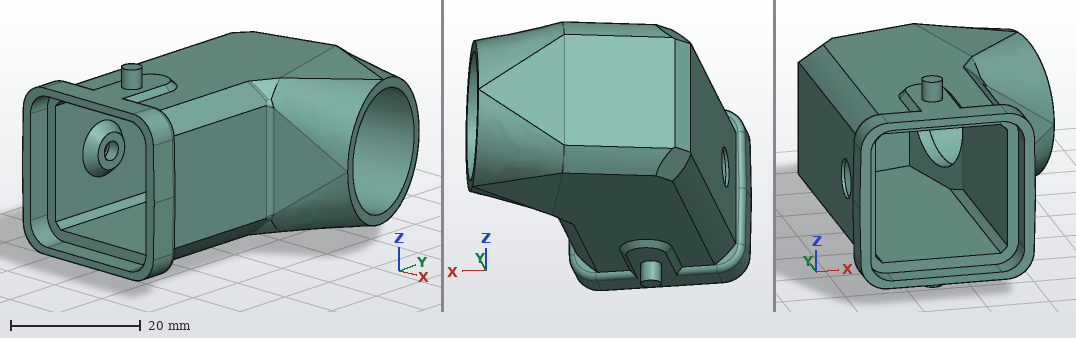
import cadquery as cq
import math


OUTLET_ANGLE = 15.0
BODY_SIZE = 25.0
BODY_CORNER_DIAMETER = 31.0
ELBOW_Y = 27.56
BACK_CORNER_CUT = 2.0
BEVEL_CHAMFER_WIDTH = 4.3
BEVEL_CHAMFER_HEIGHT = 3.55
ELBOW_FILLET = 1.0
WEB_DROP = 1.3

COLLAR_HEIGHT = 5.3
COLLAR_MIDDLE_WIDTH = 28.0
COLLAR_END_WIDTH = 27.4
COLLAR_DEPTH = 27.0
COLLAR_RADIUS = 4.3
COLLAR_EDGE_RADIUS = 1.0
MOUTH_SIZE = 24.5
MOUTH_RADIUS = 3.6
MOUTH_DEPTH = 3.8

OUTLET_LENGTH = 13.22
OUTLET_DIAMETER = 23.3
OUTLET_BORE = 20.0
NECK_BORE = 15.5
NECK_LENGTH = 2.08

WALL = 2.0
CAVITY_CORNER_DIAMETER = 28.2
CAVITY_BACK_X = 6.1
NECK_WALL_SETBACK = 0.84

TAB_HALF_WIDTH = 3.1
TAB_CENTER_Y = 14.0
PIN_DIAMETER = 3.2
PIN_Y = 9.8
PIN_SPAN = 33.4

HOLE_Y = 14.4
HOLE_DIAMETER = 3.1
COUNTERSINK_DIAMETER = 6.2
COUNTERSINK_RIM = 0.5
COUNTERSINK_DEPTH = 1.85
BOSS_DIAMETER = 9.0
BOSS_TOP_DIAMETER = 6.0
BOSS_HEIGHT = 1.85

OVERRUN = 5.0
half = BODY_SIZE / 2
corner_radius = BODY_CORNER_DIAMETER / 2
inset = math.sqrt(corner_radius**2 - half**2)
diagonal = math.sqrt(0.5)
corner_middle = corner_radius * diagonal
cavity_half = half - WALL
collar_half_depth = COLLAR_DEPTH / 2

sin_a = math.sin(math.radians(OUTLET_ANGLE))
cos_a = math.cos(math.radians(OUTLET_ANGLE))
tan_a = sin_a / cos_a

elbow = (half, ELBOW_Y)
root_top = (half - BODY_SIZE * sin_a, ELBOW_Y + BODY_SIZE * cos_a)
back_left_y = root_top[1] - (root_top[0] + half) * tan_a
bevel_start = (-half, back_left_y - BACK_CORNER_CUT)
bevel_end = (-half + BACK_CORNER_CUT * cos_a, back_left_y + BACK_CORNER_CUT * sin_a)
web_start = (inset, ELBOW_Y - WEB_DROP)

root_plane = cq.Plane(
    origin=(half - half * sin_a, ELBOW_Y + half * cos_a, 0),
    xDir=(-sin_a, cos_a, 0),
    normal=(cos_a, sin_a, 0),
)


def mouth_plane():
    """Workplane across the open end, extruding toward +Y."""
    return cq.Workplane(cq.Plane((0, 0, 0), (-1, 0, 0), (0, 1, 0)))


def plan_prism(points, half_height):
    """Prism with an XY outline, symmetric about Z = 0."""
    return cq.Workplane("XY").polyline(points).close().extrude(half_height, both=True)


def mirrored(shape):
    """Shape joined with its mirror image below Z = 0."""
    return shape.union(shape.mirror("XY"))


def turned_along_x(outline):
    """Solid turned from an XY half outline around the hole axis in the -X side."""
    half_section = cq.Workplane("XY").polyline(outline).close()
    return half_section.revolve(360, (0, HOLE_Y, 0), (1, HOLE_Y, 0))


def face_between(*edges):
    return cq.Face.makeFromWires(cq.Wire.assembleEdges(list(edges)))


def solid_from_faces(faces):
    return cq.Workplane(obj=cq.Solid.makeSolid(cq.Shell.makeShell(faces)))


def edge_cutter(start, end, width, bottom, middle=None):
    """Cutter along the upper edge of the side from start to end (body on its left).

    Its profile runs from the top face, the given width inside the side face, down to the
    bottom height on the side face, straight or as an arc through the middle point.
    """
    along = cq.Vector(end[0] - start[0], end[1] - start[1], 0)
    direction = along.normalized()
    outward = cq.Vector(direction.y, -direction.x, 0)
    origin = cq.Vector(*start, 0) - direction * OVERRUN
    profile = cq.Workplane(cq.Plane(origin, outward, direction * -1)).moveTo(-width, half)
    if middle:
        profile = profile.threePointArc(middle, (0, bottom))
    else:
        profile = profile.lineTo(0, bottom)
    return (
        profile.lineTo(OVERRUN, bottom)
        .lineTo(OVERRUN, half + OVERRUN)
        .lineTo(-width, half + OVERRUN)
        .close()
        .extrude(-along.Length - 2 * OVERRUN)
    )


def edge_rounder(start, end):
    """Edge cutter that leaves the round corner of the body section."""
    return edge_cutter(start, end, half - inset, inset, (corner_middle - half, corner_middle))


def right_edge_rounder():
    """Edge cutter of the +X side, stopped at the lower plane of the elbow web."""
    slope = (elbow[1] - web_start[1]) / (elbow[0] - web_start[0])
    far_x = half + 2 * OVERRUN
    limit = plan_prism(
        [
            (web_start[0], -2 * OVERRUN),
            (far_x, -2 * OVERRUN),
            (far_x, elbow[1] + slope * (far_x - elbow[0])),
            web_start,
        ],
        BODY_SIZE,
    )
    return edge_rounder((half, 0), elbow).intersect(limit)


def web_cutter():
    """Cutter leaving a ruled web between the body edge and the outlet root corner."""
    tip = cq.Vector(*elbow, inset)
    sharp_corner = cq.Vector(*elbow, half)
    body_point = cq.Vector(*web_start, half)
    root_point = root_plane.toWorldCoords((-inset, half, 0))
    root_middle = root_plane.toWorldCoords((-corner_middle, corner_middle, 0))

    web_angle = math.atan2(WEB_DROP, half - inset)
    web_direction = cq.Vector(math.cos(web_angle), math.sin(web_angle), 0)
    tip_angle = math.degrees(math.acos(half / corner_radius))
    body_arc = cq.Edge.makeEllipse(
        corner_radius / math.cos(web_angle),
        corner_radius,
        cq.Vector(0, ELBOW_Y - half * math.tan(web_angle), 0),
        cq.Vector(web_direction.y, -web_direction.x, 0),
        web_direction,
        tip_angle,
        90 - tip_angle,
    )
    root_arc = cq.Edge.makeThreePointArc(tip, root_middle, root_point)
    riser = cq.Edge.makeLine(tip, sharp_corner)
    body_side = cq.Edge.makeLine(sharp_corner, body_point)
    root_side = cq.Edge.makeLine(sharp_corner, root_point)
    crest = cq.Edge.makeLine(body_point, root_point)
    return solid_from_faces(
        [
            cq.Face.makeRuledSurface(body_arc, root_arc),
            face_between(body_arc, body_side, riser),
            face_between(root_arc, root_side, riser),
            face_between(body_side, crest, root_side),
        ]
    )


def make_body():
    """Straight body with a slanted, beveled back, ending at the outlet root plane."""
    outline = [(-half, 0), (half, 0), elbow, root_top, bevel_end, bevel_start]
    body = plan_prism(outline, half)
    cutters = [
        edge_rounder(root_top, bevel_end),
        edge_cutter(bevel_end, bevel_start, BEVEL_CHAMFER_WIDTH, half - BEVEL_CHAMFER_HEIGHT),
        edge_rounder(bevel_start, (-half, 0)),
        right_edge_rounder(),
        web_cutter(),
    ]
    for cutter in cutters:
        body = body.cut(cutter).cut(cutter.mirror("XY"))
    return body


def make_outlet():
    """Transition from the root section to the round outlet end."""
    radius = OUTLET_DIAMETER / 2
    quarter_directions = [(1, 0), (0, 1), (-1, 0), (0, -1)]
    faces = []
    root_edges = []
    end_edges = []
    for index, (u1, v1) in enumerate(quarter_directions):
        u2, v2 = quarter_directions[(index + 1) % len(quarter_directions)]

        def point(first, second, w):
            """Point from its reach along this quarter's first and second direction."""
            return root_plane.toWorldCoords((u1 * first + u2 * second, v1 * first + v2 * second, w))

        corner_end = point(inset, half, 0)
        flat_end = point(-inset, half, 0)
        end_stop = point(0, radius, OUTLET_LENGTH)
        corner_arc = cq.Edge.makeThreePointArc(
            point(half, inset, 0), point(corner_middle, corner_middle, 0), corner_end
        )
        end_arc = cq.Edge.makeThreePointArc(
            point(radius, 0, OUTLET_LENGTH),
            point(radius * diagonal, radius * diagonal, OUTLET_LENGTH),
            end_stop,
        )
        flat = cq.Edge.makeLine(corner_end, flat_end)
        root_edges += [corner_arc, flat]
        end_edges.append(end_arc)
        faces.append(cq.Face.makeRuledSurface(corner_arc, end_arc))
        faces.append(
            face_between(flat, cq.Edge.makeLine(flat_end, end_stop), cq.Edge.makeLine(end_stop, corner_end))
        )
    faces.append(face_between(*root_edges))
    faces.append(face_between(*end_edges))
    return solid_from_faces(faces)


def round_elbow(hood):
    """Fillet along the inner bend and on along the lower edges of both webs."""
    web_middle_x = (elbow[0] + web_start[0]) / 2
    web_middle_y = (elbow[1] + web_start[1]) / 2
    web_middle_z = (half + inset) / 2
    bend_points = [
        (*elbow, 0),
        (web_middle_x, web_middle_y, web_middle_z),
        (web_middle_x, web_middle_y, -web_middle_z),
    ]
    picked = [hood.edges(cq.selectors.NearestToPointSelector(p)).val() for p in bend_points]
    return hood.newObject(picked).fillet(ELBOW_FILLET)


def make_collar():
    """Rim around the mouth with slightly peaked sides and a rounded upper edge."""
    peak = COLLAR_MIDDLE_WIDTH / 2
    end = COLLAR_END_WIDTH / 2
    outline = [
        (peak, 0),
        (end, collar_half_depth),
        (-end, collar_half_depth),
        (-peak, 0),
        (-end, -collar_half_depth),
        (end, -collar_half_depth),
    ]
    collar = mouth_plane().polyline(outline).close().extrude(COLLAR_HEIGHT)
    collar = collar.edges("|Y").edges(">Z or <Z").fillet(COLLAR_RADIUS)
    return collar.faces(">Y").edges().fillet(COLLAR_EDGE_RADIUS)


def make_tab():
    """Upper tab with a rounded end and 45 degree flanks, flush with the collar."""
    rise = collar_half_depth - half
    base_half_width = TAB_HALF_WIDTH + rise
    start_y = base_half_width / 2
    return (
        cq.Workplane("XY", origin=(0, 0, half))
        .moveTo(-base_half_width, start_y)
        .lineTo(base_half_width, start_y)
        .lineTo(base_half_width, TAB_CENTER_Y)
        .threePointArc((0, TAB_CENTER_Y + base_half_width), (-base_half_width, TAB_CENTER_Y))
        .close()
        .extrude(rise, taper=45)
    )


def make_pin():
    """Upper locking pin, rooted in the wall."""
    return (
        cq.Workplane("XY", origin=(0, PIN_Y, half - WALL / 2))
        .circle(PIN_DIAMETER / 2)
        .extrude(PIN_SPAN / 2 - half + WALL / 2)
    )


def make_mouth():
    """Rounded square recess at the open end."""
    return mouth_plane().rect(MOUTH_SIZE, MOUTH_SIZE).extrude(MOUTH_DEPTH).edges("|Y").fillet(MOUTH_RADIUS)


def make_cavity():
    """Inside of the hood: a slanted back wall and a wall square to the outlet axis."""
    wall_x = root_plane.origin.x - NECK_WALL_SETBACK * cos_a
    wall_y = root_plane.origin.y - NECK_WALL_SETBACK * sin_a
    back_y = wall_y + (wall_x - CAVITY_BACK_X) / tan_a
    outline = [
        (-cavity_half, 0),
        (cavity_half, 0),
        (cavity_half, wall_y - (cavity_half - wall_x) / tan_a),
        (CAVITY_BACK_X, back_y),
        (-cavity_half, back_y - (cavity_half + CAVITY_BACK_X) * tan_a),
    ]
    corner_limit = mouth_plane().circle(CAVITY_CORNER_DIAMETER / 2).extrude(2 * BODY_SIZE)
    return plan_prism(outline, cavity_half).intersect(corner_limit)


def make_outlet_bores():
    """Neck bore through the inner wall, opening into the wide bore of the outlet."""
    outlet = cq.Workplane(root_plane)
    neck_end = NECK_LENGTH - NECK_WALL_SETBACK
    neck = outlet.workplane(offset=-NECK_WALL_SETBACK).circle(NECK_BORE / 2).extrude(NECK_LENGTH)
    bore = outlet.workplane(offset=neck_end).circle(OUTLET_BORE / 2).extrude(OUTLET_LENGTH)
    return neck.union(bore)


def make_boss():
    """Conical boss on the inside of the -X wall."""
    outline = [
        (-cavity_half, HOLE_Y),
        (-cavity_half, HOLE_Y + BOSS_DIAMETER / 2),
        (-cavity_half + BOSS_HEIGHT, HOLE_Y + BOSS_TOP_DIAMETER / 2),
        (-cavity_half + BOSS_HEIGHT, HOLE_Y),
    ]
    return turned_along_x(outline)


def make_countersunk_hole():
    """Hole through the -X wall and the boss, countersunk from the outside."""
    rim_radius = COUNTERSINK_DIAMETER / 2
    hole_radius = HOLE_DIAMETER / 2
    hole_end = -cavity_half + 2 * BOSS_HEIGHT
    outline = [
        (-half, HOLE_Y),
        (-half, HOLE_Y + rim_radius),
        (-half + COUNTERSINK_RIM, HOLE_Y + rim_radius),
        (-half + COUNTERSINK_DEPTH, HOLE_Y + hole_radius),
        (hole_end, HOLE_Y + hole_radius),
        (hole_end, HOLE_Y),
    ]
    return turned_along_x(outline)


hood = round_elbow(make_body().union(make_outlet()))
hood = hood.union(make_collar()).union(mirrored(make_tab()))
hood = hood.union(mirrored(make_pin()))
hood = hood.cut(make_mouth()).cut(make_cavity()).cut(make_outlet_bores())
result = hood.union(make_boss()).cut(make_countersunk_hole())